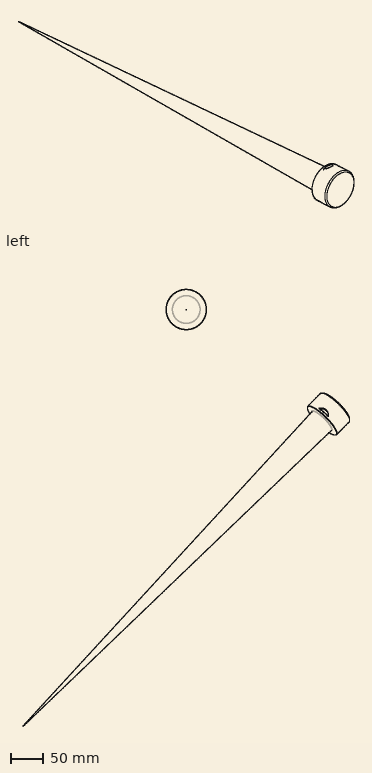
import cadquery as cq

total_length = 716.5
head_diameter = 63.0
head_length = 31.5
front_chamfer = 1.0
back_chamfer = 2.0

spike_base_diameter = 42.0
tip_diameter = 1.0
root_fillet = 1.0

pocket_setback = 4.0
pocket_length = 5.0
pocket_width = 20.0
pocket_depth = 4.0

head_radius = head_diameter / 2
head_start = total_length - head_length


def make_body():
    """Revolve the spike and head about the X axis, with the tip at the origin."""
    tip_radius = tip_diameter / 2
    base_radius = spike_base_diameter / 2
    profile = (
        cq.Workplane("XZ")
        .moveTo(0, 0)
        .lineTo(0, tip_radius)
        .lineTo(head_start - root_fillet, base_radius)
        .radiusArc((head_start, base_radius + root_fillet), -root_fillet)
        .lineTo(head_start, head_radius - front_chamfer)
        .lineTo(head_start + front_chamfer, head_radius)
        .lineTo(total_length - back_chamfer, head_radius)
        .lineTo(total_length, head_radius - back_chamfer)
        .lineTo(total_length, 0)
        .close()
    )
    return profile.revolve(360, (0, 0, 0), (1, 0, 0))


def make_pocket():
    """Straight wall toward the spike, bowed wall toward the back of the head."""
    straight_wall = head_start + pocket_setback
    half_width = pocket_width / 2
    return (
        cq.Workplane("XY", origin=(0, 0, head_radius - pocket_depth))
        .moveTo(straight_wall, -half_width)
        .threePointArc((straight_wall + pocket_length, 0), (straight_wall, half_width))
        .close()
        .extrude(pocket_depth)
    )


result = make_body().cut(make_pocket())